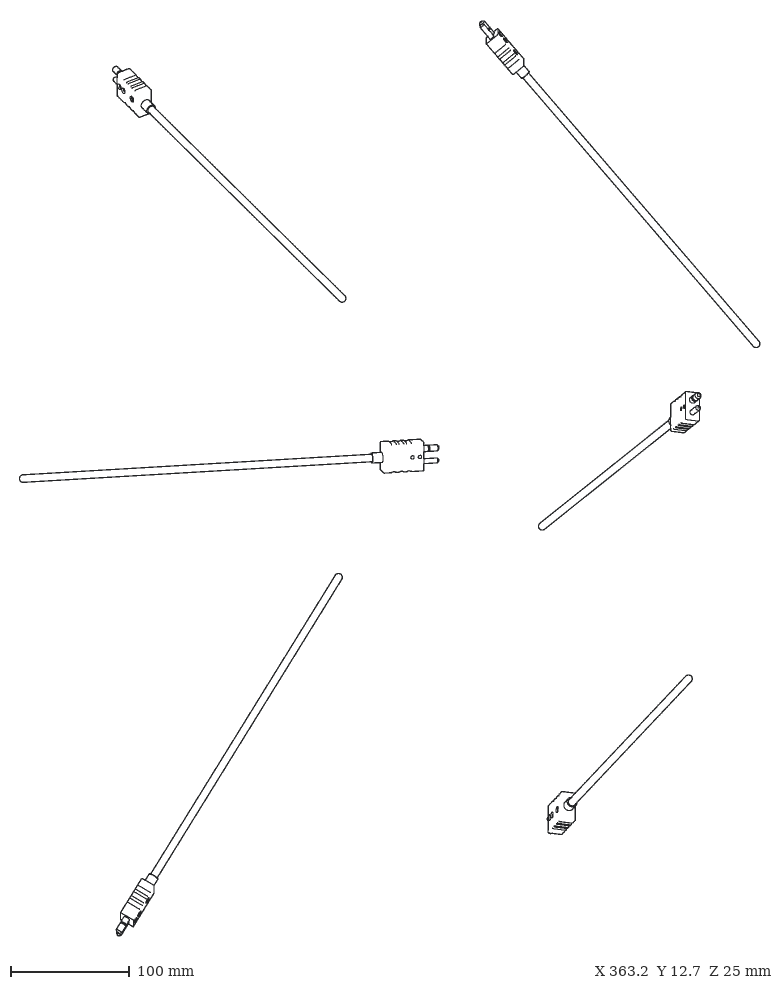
import cadquery as cq

total_length = 363.2

housing_start = 14.5
housing_end = 49.5
housing_depth = 12.7
housing_height = 25.0
housing_edge_radius = 1.0

groove_count = 3
groove_pitch = 6.5
groove_middle = 33.8
groove_width = 4.0
groove_depth = 0.7

hole_places = [17.8, 24.5]
hole_diameter = 3.0
countersink_diameter = 5.0
countersink_angle = 90.0

screw_place = 37.8
screw_recess_diameter = 5.0
screw_recess_depth = 1.0
screw_socket_diameter = 3.0
screw_socket_depth = 2.0

pin_spacing = 11.0
thick_pin_diameter = 5.5
thin_pin_diameter = 4.5
pin_chamfer = 1.5
pin_groove_start = 8.5
pin_groove_width = 1.0
pin_groove_depth = 0.7

collar_end = 58.0
collar_diameter = 8.7
probe_diameter = 6.5


def rod_along_x(diameter, start, end, height=0.0):
    """Round bar along X from start to end, with its axis at Z = height."""
    bar = cq.Workplane("YZ", origin=(start, 0, height)).circle(diameter / 2)
    return bar.extrude(end - start)


def grip_grooves():
    """Round-bottomed groove cutters along Y for the top and bottom faces."""
    radius = ((groove_width / 2) ** 2 + groove_depth**2) / (2 * groove_depth)
    axis_height = housing_height / 2 - groove_depth + radius
    first = groove_middle - groove_pitch * (groove_count - 1) / 2
    centers = []
    for index in range(groove_count):
        for side in (-1, 1):
            centers.append((first + index * groove_pitch, side * axis_height))
    return cq.Workplane("XZ").pushPoints(centers).circle(radius).extrude(housing_depth, both=True)


def housing_block():
    """Grooved block with a rounded rim on its front, back and probe-side faces."""
    length = housing_end - housing_start
    block = cq.Workplane("XY").box(length, housing_depth, housing_height)
    block = block.translate((housing_start + length / 2, 0, 0))
    block = block.cut(grip_grooves())
    return block.edges("<Y or >Y or >X").edges("not <X").fillet(housing_edge_radius)


def drill_front_face(block):
    """Cut the two countersunk holes and the stepped screw recess into the front face."""
    front_face = cq.Workplane("XZ", origin=(0, -housing_depth / 2, 0))
    block = block.copyWorkplane(front_face).pushPoints([(place, 0) for place in hole_places])
    block = block.cskHole(hole_diameter, countersink_diameter, countersink_angle)
    block = block.copyWorkplane(front_face).center(screw_place, 0)
    return block.cboreHole(
        screw_socket_diameter,
        screw_recess_diameter,
        screw_recess_depth,
        screw_socket_depth,
    )


def contact_pin(diameter, height):
    """Round pin with a chamfered tip."""
    pin = rod_along_x(diameter, 0, housing_start, height)
    return pin.faces("<X").chamfer(pin_chamfer)


def pin_groove(diameter, height):
    """Ring cutter for the groove around a pin."""
    groove_end = pin_groove_start + pin_groove_width
    ring = rod_along_x(diameter, pin_groove_start, groove_end, height)
    core = rod_along_x(diameter - 2 * pin_groove_depth, pin_groove_start, groove_end, height)
    return ring.cut(core)


def make_plug():
    """Housing in one piece with a thick grooved upper pin and a thin plain lower pin."""
    upper = pin_spacing / 2
    thick_pin = contact_pin(thick_pin_diameter, upper).cut(pin_groove(thick_pin_diameter, upper))
    thin_pin = contact_pin(thin_pin_diameter, -upper)
    return drill_front_face(housing_block()).union(thick_pin).union(thin_pin)


def make_collar():
    """Tube around the probe, butting against the end of the housing."""
    collar = rod_along_x(collar_diameter, housing_end, collar_end)
    return collar.cut(rod_along_x(probe_diameter, housing_end, collar_end))


def make_probe():
    """Long rod from the housing, through the collar, to a hemispherical tip."""
    radius = probe_diameter / 2
    tip_center = total_length - radius
    shaft = rod_along_x(probe_diameter, housing_end, tip_center)
    tip = cq.Workplane("XY", origin=(tip_center, 0, 0)).sphere(radius)
    return shaft.union(tip)


plug = make_plug()
collar = make_collar()
probe = make_probe()
result = cq.Compound.makeCompound([body.solids().val() for body in (plug, collar, probe)])